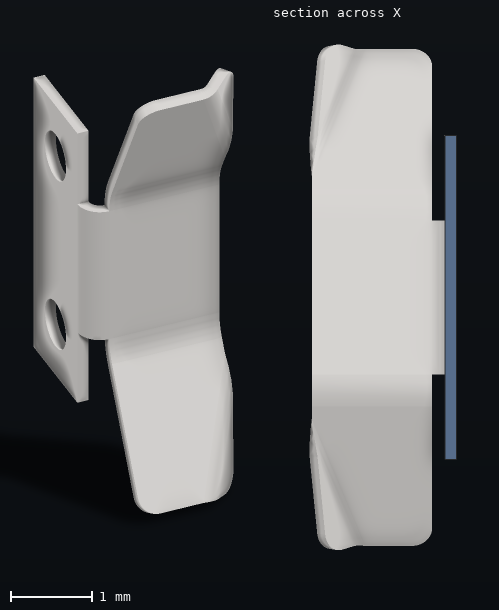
import cadquery as cq
import math


thickness = 0.15

plate_length = 4.0
plate_width = 1.35
hole_diameter = 0.65
hole_spacing = 2.5
hole_x = plate_width / 2

plate_bend_radius = 0.15
plate_bend_outer = plate_bend_radius + thickness

web_length = 1.9
web_bottom_y = plate_bend_outer
web_top_y = 1.78
web_height = web_top_y - web_bottom_y
web_outer_x = plate_width + plate_bend_outer
web_inner_x = web_outer_x - thickness

arm_angle = math.radians(28)
arm_bend_outer = 0.84
arm_bend_inner = arm_bend_outer - thickness
arm_length = 1.95
corner_radius = 0.25

fold_angle = math.radians(45)
fold_radius = 0.15
fold_skew = math.radians(20.3)
fold_start = 0.2
fold_strip = fold_angle * (fold_radius + thickness / 2)
fold_edge_points = 9


def make_plate():
    plate = cq.Workplane("XY").box(plate_width, thickness, plate_length, centered=(False, False, True))
    holes = (
        cq.Workplane("XZ")
        .pushPoints([(hole_x, hole_spacing / 2), (hole_x, -hole_spacing / 2)])
        .circle(hole_diameter / 2)
        .extrude(-thickness)
    )
    return plate.cut(holes)


def make_web():
    """Quarter-round bend out of the plate and the flat web above it."""
    half_diagonal = math.sqrt(0.5)

    def bend_middle(radius):
        return (plate_width + radius * half_diagonal, plate_bend_outer - radius * half_diagonal)

    return (
        cq.Workplane("XY", origin=(0, 0, -web_length / 2))
        .moveTo(plate_width, 0)
        .threePointArc(bend_middle(plate_bend_outer), (web_outer_x, web_bottom_y))
        .lineTo(web_outer_x, web_top_y)
        .lineTo(web_inner_x, web_top_y)
        .lineTo(web_inner_x, web_bottom_y)
        .threePointArc(bend_middle(plate_bend_radius), (plate_width, thickness))
        .close()
        .extrude(web_length)
    )


def arm_bend_point(radius, angle):
    """Point (x, z) on the bend between the web and the upper arm."""
    center_x = web_inner_x + arm_bend_outer
    return (center_x - radius * math.cos(angle), web_length / 2 + radius * math.sin(angle))


def make_arm_bend():
    return (
        cq.Workplane("XZ", origin=(0, web_bottom_y, 0))
        .moveTo(*arm_bend_point(arm_bend_outer, 0))
        .threePointArc(
            arm_bend_point(arm_bend_outer, arm_angle / 2),
            arm_bend_point(arm_bend_outer, arm_angle),
        )
        .lineTo(*arm_bend_point(arm_bend_inner, arm_angle))
        .threePointArc(
            arm_bend_point(arm_bend_inner, arm_angle / 2),
            arm_bend_point(arm_bend_inner, 0),
        )
        .close()
        .extrude(-web_height)
    )


arm_x, arm_z = arm_bend_point(arm_bend_outer, arm_angle)
arm_plane = cq.Plane(
    origin=(arm_x, 0, arm_z),
    xDir=(math.sin(arm_angle), 0, math.cos(arm_angle)),
    normal=(-math.cos(arm_angle), 0, math.sin(arm_angle)),
)

fold_plane = cq.Plane(
    origin=arm_plane.toWorldCoords((fold_start, web_top_y, 0)),
    xDir=arm_plane.xDir * math.cos(fold_skew) - arm_plane.yDir * math.sin(fold_skew),
    normal=arm_plane.zDir,
)


def edge_station(across):
    """Distance along the fold line to the long edge of the unfolded arm."""
    return across / math.tan(fold_skew)


def tip_station(across):
    """Distance along the fold line to the tip edge of the unfolded arm."""
    return (arm_length - fold_start - across * math.sin(fold_skew)) / math.cos(fold_skew)


def make_arm_flat():
    """Flat part of the arm, up to the fold line."""
    fold_end_y = web_top_y - tip_station(0) * math.sin(fold_skew)
    return (
        cq.Workplane(arm_plane)
        .moveTo(0, web_bottom_y)
        .lineTo(arm_length - corner_radius, web_bottom_y)
        .radiusArc((arm_length, web_bottom_y + corner_radius), -corner_radius)
        .lineTo(arm_length, fold_end_y)
        .lineTo(fold_start, web_top_y)
        .lineTo(0, web_top_y)
        .close()
        .extrude(-thickness)
    )


def fold_edge(station, radius):
    """Edge where one end of the fold strip lies on the inside or outside of the bend."""
    points = []
    for index in range(fold_edge_points):
        fraction = index / (fold_edge_points - 1)
        angle = fraction * fold_angle
        along = station(fraction * fold_strip)
        across = radius * math.sin(angle)
        rise = fold_radius - radius * math.cos(angle)
        points.append(fold_plane.toWorldCoords((along, across, rise)))
    return cq.Edge.makeSpline(points)


def make_fold_bend():
    """Bent strip between the flat arm and the flap, bounded by six ruled faces."""
    outer_radius = fold_radius + thickness
    edge_inner = fold_edge(edge_station, fold_radius)
    edge_outer = fold_edge(edge_station, outer_radius)
    tip_inner = fold_edge(tip_station, fold_radius)
    tip_outer = fold_edge(tip_station, outer_radius)
    loop = [edge_inner, edge_outer, tip_outer, tip_inner]
    faces = [cq.Face.makeRuledSurface(loop[i - 1], loop[i]) for i in range(len(loop))]
    for end in (0, 1):
        corners = [edge.positionAt(end) for edge in loop]
        faces.append(cq.Face.makeFromWires(cq.Wire.makePolygon(corners, close=True)))
    solid = cq.Solid.makeSolid(cq.Shell.makeShell(faces))
    return cq.Workplane(obj=solid.fix())


def make_flap():
    """Folded corner beyond the bend."""
    rise = fold_radius * (1 - math.cos(fold_angle))
    flap_normal = fold_plane.zDir * math.cos(fold_angle) - fold_plane.yDir * math.sin(fold_angle)
    flap_plane = cq.Plane(
        origin=fold_plane.toWorldCoords((0, fold_radius * math.sin(fold_angle), rise)),
        xDir=fold_plane.xDir,
        normal=flap_normal,
    )
    corner_across = (arm_length - fold_start) * math.sin(fold_skew)
    corner = (edge_station(corner_across), corner_across - fold_strip)
    flap = (
        cq.Workplane(flap_plane)
        .moveTo(edge_station(fold_strip), 0)
        .lineTo(tip_station(fold_strip), 0)
        .lineTo(*corner)
        .close()
        .extrude(-thickness)
    )
    corner_point = flap_plane.toWorldCoords((corner[0], corner[1], -thickness / 2))
    return flap.edges(cq.selectors.NearestToPointSelector(corner_point.toTuple())).fillet(corner_radius)


def make_arm():
    return make_arm_bend().union(make_arm_flat()).union(make_fold_bend()).union(make_flap())


upper_arm = make_arm()
lower_arm = upper_arm.mirror("XY")
result = make_plate().union(make_web()).union(upper_arm).union(lower_arm)